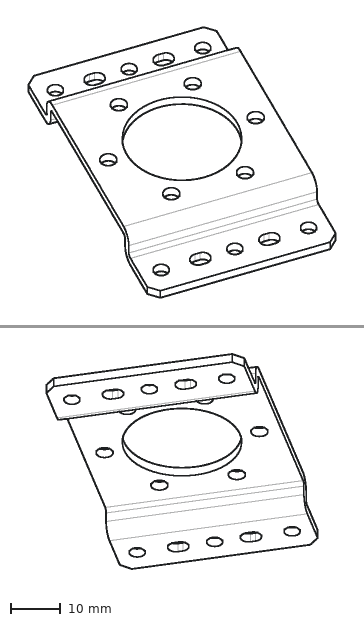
import cadquery as cq

length = 67.05
width = 41.0
height = 7.7
thickness = 2.0
raised_width = 43.45
inner_bend_radius = 0.8
outer_bend_radius = inner_bend_radius + thickness
corner_chamfer = 2.0

bore_diameter = 24.0
plate_hole_diameter = 3.4
plate_hole_count = 6
plate_hole_circle_radius = 16.0

flange_hole_x = 28.0
flange_hole_diameter = 3.2
flange_hole_pitch = 16.0
slot_length = 4.3
slot_y = 7.5

half_length = length / 2
wall_outer_x = raised_width / 2
wall_inner_x = wall_outer_x - thickness


def make_folded_sheet():
    """Hat-shaped section, extruded across the width and rounded at its bends."""
    right_side = [
        (half_length, 0),
        (half_length, thickness),
        (wall_outer_x, thickness),
        (wall_outer_x, height),
    ]
    left_side = [(-x, z) for x, z in reversed(right_side)]
    underside = [
        (-wall_inner_x, 0),
        (-wall_inner_x, height - thickness),
        (wall_inner_x, height - thickness),
        (wall_inner_x, 0),
    ]
    sheet = cq.Workplane("XZ").polyline(right_side + left_side + underside).close()
    sheet = sheet.extrude(width / 2, both=True)

    def bend_edges(x, z):
        points = [(-x, 0, z), (x, 0, z)]
        selector = cq.selectors.NearestToPointSelector
        edges = sheet.edges("|Y")
        return edges.edges(selector(points[0])).add(edges.edges(selector(points[1])))

    for x, z, radius in (
        (wall_outer_x, height, outer_bend_radius),
        (wall_inner_x, height - thickness, inner_bend_radius),
        (wall_outer_x, thickness, inner_bend_radius),
        (wall_inner_x, 0, outer_bend_radius),
    ):
        sheet = bend_edges(x, z).fillet(radius)

    return sheet.edges("|Z and (<X or >X)").chamfer(corner_chamfer)


def make_plate_holes():
    """Central bore and the ring of holes around it."""
    bore = cq.Workplane("XY").circle(bore_diameter / 2).extrude(height)
    ring = (
        cq.Workplane("XY")
        .polarArray(plate_hole_circle_radius, 90, 360, plate_hole_count)
        .circle(plate_hole_diameter / 2)
        .extrude(height)
    )
    return bore.union(ring)


def make_flange_holes(x):
    """Three round holes with a slot between each neighbouring pair."""
    holes = (
        cq.Workplane("XY")
        .pushPoints([(x, row * flange_hole_pitch) for row in (-1, 0, 1)])
        .circle(flange_hole_diameter / 2)
        .extrude(thickness)
    )
    slots = (
        cq.Workplane("XY")
        .pushPoints([(x, -slot_y), (x, slot_y)])
        .slot2D(slot_length, flange_hole_diameter, 90)
        .extrude(thickness)
    )
    return holes.union(slots)


result = make_folded_sheet().cut(make_plate_holes())
for side in (-1, 1):
    result = result.cut(make_flange_holes(side * flange_hole_x))